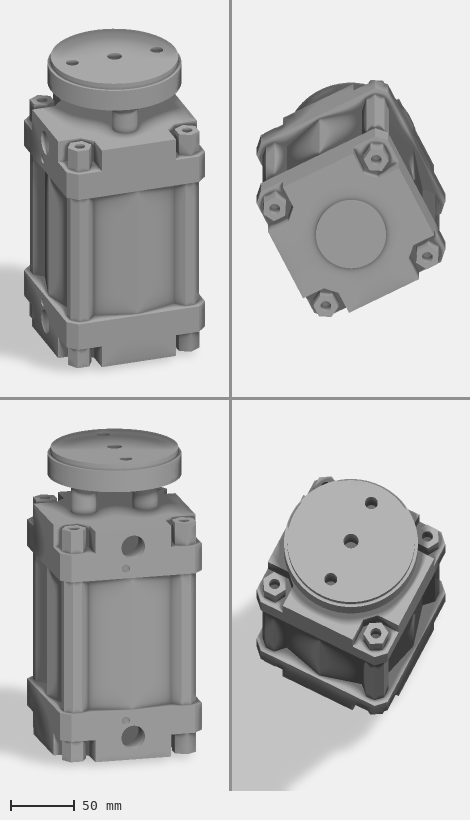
import cadquery as cq
import math

PILOT_HEIGHT = 4.0
CAP_HEIGHT = 40.0
BARREL_LENGTH = 108.0
ROD_EXPOSED = 29.0
PLATE_THICKNESS = 17.0
PLATE_STEP_HEIGHT = 5.0

LOWER_CAP_Z = PILOT_HEIGHT
BARREL_Z = LOWER_CAP_Z + CAP_HEIGHT
UPPER_CAP_Z = BARREL_Z + BARREL_LENGTH
CAP_TOP_Z = UPPER_CAP_Z + CAP_HEIGHT
PLATE_Z = CAP_TOP_Z + ROD_EXPOSED
PLATE_STEP_Z = PLATE_Z + PLATE_THICKNESS

CAP_WIDTH = 115.0
CAP_CORNER_CHAMFER = 7.5
PILOT_DIAMETER = 55.0
POCKET_EDGE = 30.7
POCKET_DEPTH = 18.0
POCKET_INNER_CHAMFER = 8.5

NUT_OFFSET = 44.5
NUT_ACROSS_FLATS = 17.0
NUT_HOLE_DIAMETER = 8.5
NUT_HOLE_DEPTH = 15.0
DRILL_POINT_ANGLE = 118.0

PORT_DIAMETER = 19.0
PORT_DEPTH = 20.0
UPPER_PORT_INSET = 15.0
LOWER_PORT_INSET = 18.0
SCREW_HOLE_DIAMETER = 6.5
SCREW_HOLE_DEPTH = 1.7
SCREW_HOLE_X = -6.0
SCREW_HOLE_INSET = 32.0

BARREL_RIDGE = 54.8
BARREL_POST_FACE = 53.4
POST_FACE_START = 40.3
POST_FACE_END = 47.7
POST_ROOT = 33.0

PLATE_DIAMETER = 105.0
PLATE_STEP_DIAMETER = 100.0
ROD_DIAMETER = 20.0
ROD_OFFSET = 25.0
CENTER_HOLE_DIAMETER = 11.84
SIDE_HOLE_DIAMETER = 10.11
SIDE_HOLE_OFFSET = 35.0

QUARTER_TURNS = [0, 90, 180, 270]


def turned(point, angle):
    """Point rotated about the Z axis by an angle in degrees."""
    x, y = point
    c = math.cos(math.radians(angle))
    s = math.sin(math.radians(angle))
    return (x * c - y * s, x * s + y * c)


def cylinder(diameter, height, x, y, z):
    return cq.Workplane("XY", origin=(x, y, z)).circle(diameter / 2).extrude(height)


def make_corner_pocket(z):
    """Pocket at the +X +Y corner, with a chamfered inner corner."""
    size = CAP_WIDTH / 2 - POCKET_EDGE
    center = POCKET_EDGE + size / 2
    pocket = cq.Workplane("XY", origin=(center, center, z)).box(
        size, size, POCKET_DEPTH, centered=(True, True, False)
    )
    return pocket.edges("|Z and <X and <Y").chamfer(POCKET_INNER_CHAMFER)


def make_cap(z, pocket_z):
    """Square cap with chamfered vertical edges and a pocket at each corner."""
    cap = cq.Workplane("XY", origin=(0, 0, z)).box(
        CAP_WIDTH, CAP_WIDTH, CAP_HEIGHT, centered=(True, True, False)
    )
    cap = cap.edges("|Z").chamfer(CAP_CORNER_CHAMFER)
    pocket = make_corner_pocket(pocket_z)
    for angle in QUARTER_TURNS:
        cap = cap.cut(pocket.rotate((0, 0, 0), (0, 0, 1), angle))
    return cap


def make_barrel():
    """Barrel with a shallow ridge on each side and a flat-sided post at each corner."""
    post_root_y = BARREL_POST_FACE - (POST_FACE_START - POST_ROOT)
    quarter = [
        (BARREL_RIDGE, 0),
        (post_root_y, POST_ROOT),
        (BARREL_POST_FACE, POST_FACE_START),
        (BARREL_POST_FACE, POST_FACE_END),
        (POST_FACE_END, BARREL_POST_FACE),
        (POST_FACE_START, BARREL_POST_FACE),
        (POST_ROOT, post_root_y),
    ]
    outline = [turned(point, angle) for angle in QUARTER_TURNS for point in quarter]
    return cq.Workplane("XY", origin=(0, 0, BARREL_Z)).polyline(outline).close().extrude(BARREL_LENGTH)


def make_nut(z):
    """Hexagonal nut at the +X +Y corner, with two corners pointing along X."""
    across_corners = NUT_ACROSS_FLATS / math.cos(math.pi / 6)
    nut = cq.Workplane("XY", origin=(NUT_OFFSET, NUT_OFFSET, z))
    return nut.polygon(6, across_corners).extrude(POCKET_DEPTH)


def make_nut_hole(face_z, direction):
    """Drilled hole with a conical bottom, entering from face_z; direction is +1 or -1 along Z."""
    radius = NUT_HOLE_DIAMETER / 2
    point_length = radius / math.tan(math.radians(DRILL_POINT_ANGLE / 2))
    profile = [
        (0, 0),
        (radius, 0),
        (radius, direction * NUT_HOLE_DEPTH),
        (0, direction * (NUT_HOLE_DEPTH + point_length)),
    ]
    hole = cq.Workplane("XZ").polyline(profile).close().revolve(360, (0, 0), (0, 1))
    return hole.translate((NUT_OFFSET, NUT_OFFSET, face_z))


def make_front_hole(diameter, depth, x, z):
    """Blind hole entering the -Y side of a cap."""
    start = cq.Workplane("XZ", origin=(x, -CAP_WIDTH / 2, z))
    return start.circle(diameter / 2).extrude(-depth)


def make_cylinder_body():
    body = make_barrel()
    body = body.union(make_cap(LOWER_CAP_Z, LOWER_CAP_Z))
    body = body.union(make_cap(UPPER_CAP_Z, CAP_TOP_Z - POCKET_DEPTH))
    body = body.union(cylinder(PILOT_DIAMETER, PILOT_HEIGHT, 0, 0, 0))

    lower_nut = make_nut(LOWER_CAP_Z)
    upper_nut = make_nut(CAP_TOP_Z - POCKET_DEPTH)
    lower_hole = make_nut_hole(LOWER_CAP_Z, 1)
    upper_hole = make_nut_hole(CAP_TOP_Z, -1)
    for angle in QUARTER_TURNS:
        for nut, hole in [(lower_nut, lower_hole), (upper_nut, upper_hole)]:
            body = body.union(nut.rotate((0, 0, 0), (0, 0, 1), angle))
            body = body.cut(hole.rotate((0, 0, 0), (0, 0, 1), angle))

    for port_z in [LOWER_CAP_Z + LOWER_PORT_INSET, CAP_TOP_Z - UPPER_PORT_INSET]:
        body = body.cut(make_front_hole(PORT_DIAMETER, PORT_DEPTH, 0, port_z))
    for screw_z in [LOWER_CAP_Z + SCREW_HOLE_INSET, CAP_TOP_Z - SCREW_HOLE_INSET]:
        body = body.cut(make_front_hole(SCREW_HOLE_DIAMETER, SCREW_HOLE_DEPTH, SCREW_HOLE_X, screw_z))
    return body


def make_moving_plate():
    """Stepped round plate carried by two guide rods that end on the upper cap."""
    plate = cylinder(PLATE_DIAMETER, PLATE_THICKNESS, 0, 0, PLATE_Z)
    plate = plate.union(cylinder(PLATE_STEP_DIAMETER, PLATE_STEP_HEIGHT, 0, 0, PLATE_STEP_Z))
    for x in [-ROD_OFFSET, ROD_OFFSET]:
        plate = plate.union(cylinder(ROD_DIAMETER, ROD_EXPOSED, x, 0, CAP_TOP_Z))

    hole_length = PLATE_THICKNESS + PLATE_STEP_HEIGHT
    plate = plate.cut(cylinder(CENTER_HOLE_DIAMETER, hole_length, 0, 0, PLATE_Z))
    for y in [-SIDE_HOLE_OFFSET, SIDE_HOLE_OFFSET]:
        plate = plate.cut(cylinder(SIDE_HOLE_DIAMETER, hole_length, 0, y, PLATE_Z))
    return plate


cylinder_body = make_cylinder_body()
moving_plate = make_moving_plate()

result = cq.Compound.makeCompound([cylinder_body.val(), moving_plate.val()])